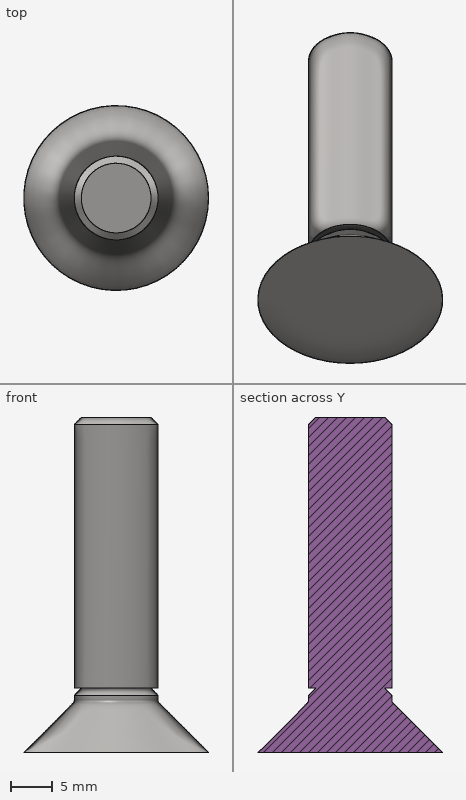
import cadquery as cq

total_length = 40.0
head_radius = 11.05
shank_radius = 5.0
end_chamfer = 0.85
shank_bottom = 7.7
neck_fillet = 0.35

cone_height = head_radius - shank_radius


def make_head():
    """Countersunk head blended into a short cylindrical collar."""
    head = (
        cq.Workplane("XZ")
        .moveTo(0, 0)
        .lineTo(head_radius, 0)
        .lineTo(shank_radius, cone_height)
        .lineTo(shank_radius, shank_bottom)
        .lineTo(0, shank_bottom)
        .close()
        .revolve(360, (0, 0, 0), (0, 1, 0))
    )
    neck_edge = cq.selectors.BoxSelector(
        (-head_radius, -head_radius, cone_height - neck_fillet),
        (head_radius, head_radius, cone_height + neck_fillet),
        boundingbox=True,
    )
    head = head.edges(neck_edge).fillet(neck_fillet)
    return head.faces(">Z").edges().chamfer(end_chamfer)


def make_shank():
    """Cylindrical shank with a chamfered tip."""
    shank = (
        cq.Workplane("XY")
        .workplane(offset=shank_bottom)
        .circle(shank_radius)
        .extrude(total_length - shank_bottom)
    )
    return shank.faces(">Z").edges().chamfer(end_chamfer)


result = make_head().union(make_shank())